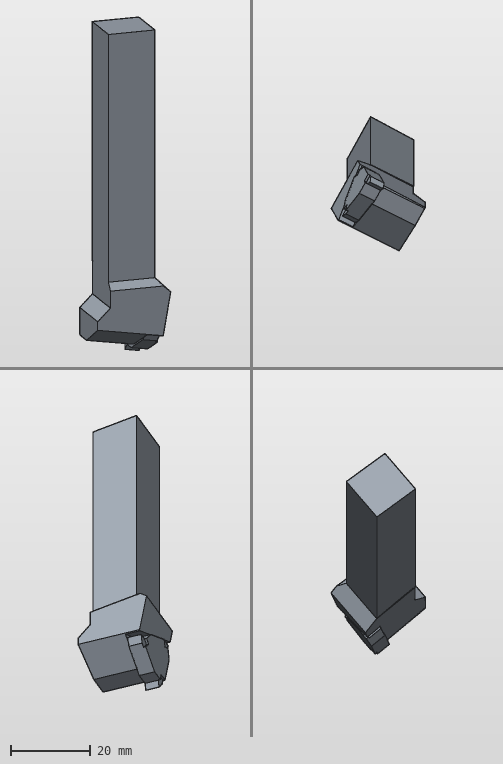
import cadquery as cq
import math

shank_size = 12.5
top_z = 87.9

head_width = 14.1
tilt = 10.0
back_y = 16.2
back_z = 18.9
shoulder_z = back_z + back_y - shank_size
front_y = -3.4
front_slope_top_z = 16.2
front_slope_bottom_z = 12.9
right_shoulder_bottom_z = 20.65
head_reach = 16.4
head_flat = 5.5
end_angle = 30.0
edge_chamfer = 0.5
relief_start = 3.1
relief_depth = 0.35

center_x = 4.2
center_reach = 11.95
edge_distance = 5.0
tip_x = -3.95
tip_y = -7.3
tooth_root_x = -3.0
land_y = -5.7
tooth_shoulder_y = -5.3
insert_proud = 0.3
seat_depth = 4.2
rake_depth = 0.6
rake_top_y = -4.1
corners = 3
margin = 1.8

slope = math.tan(math.radians(end_angle))
tilt_sin = math.sin(math.radians(tilt))
tilt_cos = math.cos(math.radians(tilt))

back_frame = cq.Plane(
    origin=(0, back_y, back_z),
    xDir=(1, 0, 0),
    normal=(0, -tilt_cos, tilt_sin),
)
insert_center = (center_x, -center_reach)


def turned(point, step):
    """Turn a point about the insert centre by whole thirds of a turn."""
    angle = math.radians(step * 360 / corners)
    x, y = point
    return (
        x * math.cos(angle) - y * math.sin(angle) + insert_center[0],
        x * math.sin(angle) + y * math.cos(angle) + insert_center[1],
    )


def prism(points, start, end):
    """Extrude an outline of the tilted frame between two depths."""
    return cq.Workplane(back_frame).workplane(offset=start).polyline(points).close().extrude(end - start)


def triangle():
    """Triangle along the three long edges of the insert."""
    vertex = (2 * edge_distance, 0)
    return [turned(vertex, step) for step in range(corners)]


def insert_outline():
    """Three teeth, each followed by a flank, a land and a long edge."""
    land_end_x = 2 * (edge_distance + math.sqrt(3) / 2 * land_y)
    third = [
        (-edge_distance, tooth_shoulder_y),
        (tip_x, tip_y),
        (tooth_root_x, land_y),
        (land_end_x, land_y),
    ]
    return [turned(point, step) for step in range(corners) for point in third]


def make_insert():
    body = prism(insert_outline(), -insert_proud, seat_depth)
    rake = [
        (-edge_distance - margin, tip_y - margin),
        (tooth_root_x, tip_y - margin),
        (tooth_root_x, rake_top_y),
        (-edge_distance - margin, rake_top_y),
    ]
    for step in range(corners):
        recess = [turned(point, step) for point in rake]
        body = body.cut(prism(recess, -margin, rake_depth - insert_proud))
    return body


def side_profile():
    """Shank and head drawn in the YZ plane, square to the tilted back face at the end."""
    bottom_back = (back_y - head_reach * tilt_sin, back_z - head_reach * tilt_cos)
    front_bottom_z = bottom_back[1] + (bottom_back[0] - front_y) * tilt_sin / tilt_cos
    points = [
        (0, top_z),
        (shank_size, top_z),
        (shank_size, shoulder_z),
        (back_y, back_z),
        bottom_back,
        (front_y, front_bottom_z),
        (front_y, front_slope_bottom_z),
        (0, front_slope_top_z),
    ]
    return cq.Workplane("YZ").polyline(points).close().extrude(head_width)


def right_side_cut():
    """Space beside the shank, down to the sloping right shoulder."""
    points = [
        (shank_size, top_z + margin),
        (shank_size, shoulder_z),
        (head_width, right_shoulder_bottom_z),
        (head_width + margin, right_shoulder_bottom_z),
        (head_width + margin, top_z + margin),
    ]
    depth = back_y - front_y + 2 * margin
    return cq.Workplane("XZ", origin=(0, back_y + margin, 0)).polyline(points).close().extrude(depth)


def end_slope_cut(depth):
    right = head_width + margin
    points = [
        (head_flat, -head_reach),
        (right, -head_reach + (right - head_flat) * slope),
        (right, -head_reach - margin),
        (head_flat, -head_reach - margin),
    ]
    return prism(points, -margin, depth)


def side_relief_cut(depth):
    """Wedge off the left side that deepens from nothing at the back face."""
    bottom = -head_reach - margin
    length = relief_start - bottom
    frame = cq.Plane(
        origin=back_frame.toWorldCoords((0, bottom, 0)).toTuple(),
        xDir=(1, 0, 0),
        normal=back_frame.yDir.toTuple(),
    )
    return cq.Workplane(frame).polyline([(0, 0), (0, -depth), (relief_depth, -depth)]).close().extrude(length)


def end_chamfer_cut(depth):
    points = [
        (-margin, -head_reach + edge_chamfer + margin),
        (edge_chamfer, -head_reach),
        (edge_chamfer, -head_reach - margin),
        (-margin, -head_reach - margin),
    ]
    return prism(points, -margin, depth)


def make_holder():
    cut_depth = back_y - front_y + 2 * margin
    holder = side_profile().cut(right_side_cut()).cut(end_slope_cut(cut_depth))
    holder = holder.cut(side_relief_cut(cut_depth)).cut(end_chamfer_cut(cut_depth))
    return holder.cut(prism(triangle(), -margin, seat_depth))


holder = make_holder()
insert = make_insert()
result = cq.Compound.makeCompound([holder.val(), insert.val()])